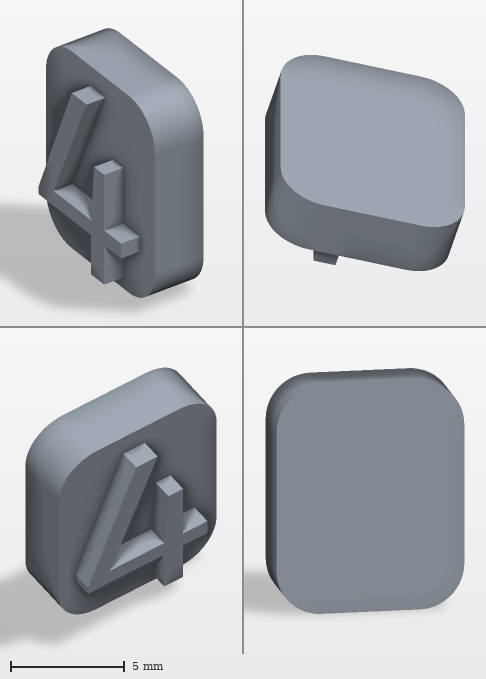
import cadquery as cq

width = 8.4
height = 10.3
total_depth = 3.6
digit_relief = 1.0
plate_depth = total_depth - digit_relief
corner_radius = 2.0

bar_left = -3.35
bar_right = 3.03
bar_top = -1.77
bar_bottom = -2.54

stem_left = 0.72
stem_right = 1.73
stem_tip_left = 0.95
stem_top = 1.14
stem_bottom = -4.6

diagonal_top = 4.1
diagonal_top_left = -0.77
diagonal_top_right = 0.37
diagonal_inner_foot = -2.17
diagonal_outer_foot = -2.17


def make_plate():
    plate = cq.Workplane("XZ").rect(width, height).extrude(-plate_depth)
    return plate.edges("|Y").fillet(corner_radius)


def make_digit():
    outline = [
        (diagonal_top_left, diagonal_top),
        (diagonal_top_right, diagonal_top),
        (diagonal_inner_foot, bar_top),
        (stem_left, bar_top),
        (stem_tip_left, stem_top),
        (stem_right, stem_top),
        (stem_right, bar_top),
        (bar_right, bar_top),
        (bar_right, bar_bottom),
        (stem_right, bar_bottom),
        (stem_right, stem_bottom),
        (stem_left, stem_bottom),
        (stem_left, bar_bottom),
        (bar_left, bar_bottom),
        (bar_left, diagonal_outer_foot),
    ]
    return cq.Workplane("XZ").polyline(outline).close().extrude(digit_relief)


result = make_plate().union(make_digit())